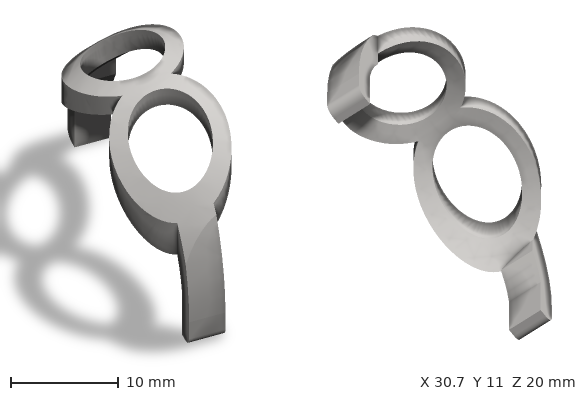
import cadquery as cq
import math

total_width = 30.65
total_depth = 11.0
ring_spacing = 12.0
ring_radius_x = 6.68
ring_radius_y = total_depth / 2
window_radius_x = 4.78
window_radius_y = 3.8

dome_center_y = 3.85
dome_center_z = 3.15
dome_outer_radius = 16.85
dome_inner_radius = 14.83

arm_width = 3.62
arm_inner_x = 13.55
arm_root_x = 12.25
arm_flank_radius = 25.13
arm_tip_radius = 0.98
stock_height = 21.45

half_width = total_width / 2
half_arm = arm_width / 2


def dome(radius):
    """Ball about the common dome centre."""
    return cq.Workplane("XY").sphere(radius).translate((0, dome_center_y, dome_center_z))


def upright_ellipse(radius_x, radius_y):
    """Vertical elliptical column on the right ring centre."""
    return (
        cq.Workplane("XY")
        .center(ring_spacing / 2, 0)
        .ellipse(radius_x, radius_y)
        .extrude(stock_height)
    )


def right_half_space():
    """Block that keeps only the positive X side."""
    return cq.Workplane("XY").box(total_width, total_width, stock_height, centered=(False, True, False))


def circle_point(radius, center_x, angle):
    """Point in XZ on a circle centred at the dome centre height."""
    return (center_x + radius * math.cos(angle), dome_center_z + radius * math.sin(angle))


def right_arm():
    """Upright strip with an arched outer flank and an inner face that runs into the dome."""
    slice_radius = math.sqrt(dome_inner_radius**2 - (dome_center_y + half_arm) ** 2)
    bend_angle = math.acos(arm_inner_x / slice_radius)
    root_angle = math.acos(arm_root_x / slice_radius)
    inner_bend = circle_point(slice_radius, 0, bend_angle)
    inner_middle = circle_point(slice_radius, 0, (bend_angle + root_angle) / 2)
    inner_root = circle_point(slice_radius, 0, root_angle)

    flank_center_x = half_width - arm_flank_radius
    flank_angle = math.acos((arm_root_x - flank_center_x) / arm_flank_radius)
    flank_middle = circle_point(arm_flank_radius, flank_center_x, flank_angle / 2)
    flank_top = circle_point(arm_flank_radius, flank_center_x, flank_angle)

    strip = (
        cq.Workplane("XZ")
        .moveTo(arm_inner_x, 0)
        .lineTo(half_width, 0)
        .lineTo(half_width, dome_center_z)
        .threePointArc(flank_middle, flank_top)
        .lineTo(*inner_root)
        .threePointArc(inner_middle, inner_bend)
        .close()
        .extrude(half_arm, both=True)
    )
    return strip.edges("|Y").edges("<Z").edges(">X").fillet(arm_tip_radius)


ring = (
    upright_ellipse(ring_radius_x, ring_radius_y)
    .intersect(right_half_space())
    .cut(dome(dome_inner_radius))
)

right_half = (
    ring
    .union(right_arm())
    .intersect(dome(dome_outer_radius))
    .cut(upright_ellipse(window_radius_x, window_radius_y))
)
result = right_half.union(right_half.mirror("YZ"))